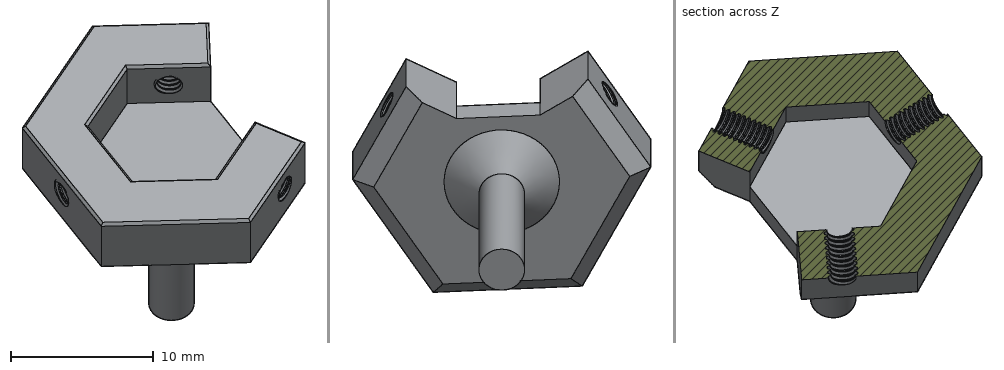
import cadquery as cq
import math

total_height = 20.0
body_height = 6.0
cone_height = 2.0
body_bottom = total_height - body_height
stem_height = body_bottom - cone_height

outer_flats = 18.1
pocket_flats = 10.15
wall_thickness = (outer_flats - pocket_flats) / 2
pocket_depth = 4.0
opening_angle = 60

edge_chamfer = 0.2
bevel_height = 1.35
bevel_width = 1.28

stem_diameter = 3.2
cone_diameter = 8.08

thread_major = 2.08
thread_minor = 1.68
thread_pitch = 0.4
thread_crest_gap = 0.05
thread_root_flat = thread_pitch / 4
groove_overlap = 0.05
hole_depth_from_top = pocket_depth / 2
hole_angles = (0, 120, 240)


def hexagon(flats, bottom, height):
    """Hexagonal prism with two flats facing +X and -X."""
    corner_diameter = flats / math.cos(math.pi / 6)
    plan = cq.Workplane("XY").workplane(offset=bottom).polygon(6, corner_diameter)
    return plan.extrude(height).rotate((0, 0, 0), (0, 0, 1), 30)


def bevelled_block():
    """Hexagonal block with its lower outer edge bevelled."""
    block = hexagon(outer_flats, body_bottom, body_height)
    return block.faces("<Z").edges().chamfer(bevel_height, bevel_width)


def opening():
    """Prism that removes one wall, with end faces square to the two neighbouring walls."""
    inner = pocket_flats / 2
    outer = outer_flats
    half_side = inner * math.tan(math.pi / 6)
    spread = (outer - inner) * math.tan(math.pi / 3)
    return (
        cq.Workplane("XY")
        .workplane(offset=body_bottom)
        .polyline([
            (inner, -half_side),
            (outer, -half_side - spread),
            (outer, half_side + spread),
            (inner, half_side),
        ])
        .close()
        .extrude(body_height)
        .rotate((0, 0, 0), (0, 0, 1), opening_angle)
    )


def holder():
    """Open hexagonal ring on a hexagonal floor."""
    pocket = hexagon(pocket_flats, total_height - pocket_depth, pocket_depth)
    body = bevelled_block().cut(pocket).cut(opening())
    return body.faces(">Z").edges().chamfer(edge_chamfer)


def stem():
    """Round stem that flares into the underside of the holder."""
    stem_radius = stem_diameter / 2
    return (
        cq.Workplane("XZ")
        .moveTo(0, 0)
        .lineTo(stem_radius, 0)
        .lineTo(stem_radius, stem_height)
        .lineTo(cone_diameter / 2, body_bottom)
        .lineTo(0, body_bottom)
        .close()
        .revolve(360, (0, 0, 0), (0, 1, 0))
    )


def threaded_hole():
    """Cutter along +X: minor-diameter bore plus a helical groove out to the major diameter."""
    minor_radius = thread_minor / 2
    major_radius = thread_major / 2
    inner_radius = minor_radius - groove_overlap
    length = wall_thickness + 2 * thread_pitch
    half_base = (thread_pitch - thread_crest_gap) / 2
    half_root = thread_root_flat / 2
    path = cq.Wire.makeHelix(thread_pitch, length, minor_radius)
    groove = (
        cq.Workplane("XZ")
        .polyline([
            (inner_radius, -half_base),
            (major_radius, -half_root),
            (major_radius, half_root),
            (inner_radius, half_base),
        ])
        .close()
        .sweep(cq.Workplane(path), isFrenet=True)
    )
    bore = cq.Workplane("XY").circle(minor_radius).extrude(length)
    cutter = bore.union(groove)
    start = pocket_flats / 2 - thread_pitch
    height = total_height - hole_depth_from_top
    return cutter.rotate((0, 0, 0), (0, 1, 0), 90).translate((start, 0, height))


result = holder().union(stem())
hole_cutter = threaded_hole()
for angle in hole_angles:
    result = result.cut(hole_cutter.rotate((0, 0, 0), (0, 0, 1), angle))